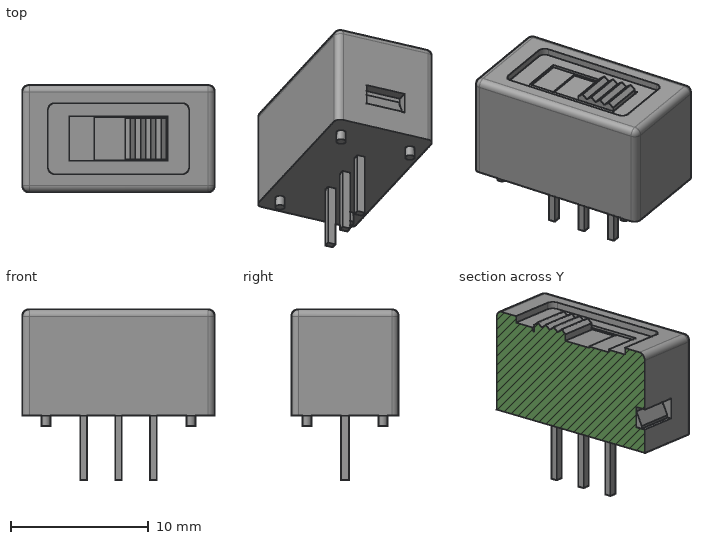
import cadquery as cq

length = 14.0
width = 7.8
total_height = 12.4
pin_length = 4.68
body_height = total_height - pin_length
edge_radius = 0.5

recess_length = 10.25
recess_width = 5.17
recess_radius = 0.5
recess_depth = 0.5
window_length = 7.17
window_width = 3.23
window_depth = 0.2
recess_floor = body_height - recess_depth
window_floor = recess_floor - window_depth

plate_start = -1.75
plate_ledge = 0.05
plate_depth = 0.1
plate_level = window_floor - plate_depth
plate_length = window_length / 2 - plate_ledge - plate_start
plate_width = window_width - 2 * plate_ledge

grip_size = 3.0
grip_end = 3.47
grip_start = grip_end - grip_size
ridge_count = 4
ridge_pitch = grip_size / ridge_count
ridge_height = 0.3
ridge_peak = body_height
ridge_root = ridge_peak - ridge_height

slot_width = 3.04
slot_bottom = 1.83
slot_top = 3.37
slot_depth = 0.8
stop_width = 2.91
stop_setback = 0.3
stop_lip = 0.2
stop_top = 3.05
slot_height = slot_top - slot_bottom
stop_height = stop_top - slot_bottom

pin_count = 3
pin_x = 0.5
pin_y = 0.6
pin_pitch = 2.53
peg_diameter = 0.69
peg_length = 0.75
peg_spacing_x = 10.53
peg_spacing_y = 5.52


def housing():
    """Block standing on Z = 0 with rounded upright and top edges."""
    block = cq.Workplane("XY").box(length, width, body_height, centered=(True, True, False))
    return block.edges("|Z or >Z").fillet(edge_radius)


def recess():
    """Shallow round-cornered pocket around the slider window."""
    pocket = cq.Workplane("XY", origin=(0, 0, recess_floor)).rect(recess_length, recess_width)
    return pocket.extrude(recess_depth).edges("|Z").fillet(recess_radius)


def window():
    """Slider window, stepped down further over the slider plate."""
    opening = cq.Workplane("XY", origin=(0, 0, window_floor))
    opening = opening.rect(window_length, window_width).extrude(window_depth)
    plate_centre = plate_start + plate_length / 2
    step = cq.Workplane("XY", origin=(plate_centre, 0, plate_level))
    return opening.union(step.rect(plate_length, plate_width).extrude(plate_depth))


def grip():
    """Ridged finger grip standing on the slider plate."""
    profile = cq.Workplane("XZ", origin=(0, grip_size / 2, 0))
    profile = profile.moveTo(grip_start, plate_level).lineTo(grip_start, ridge_root)
    for ridge in range(ridge_count):
        ridge_start = grip_start + ridge * ridge_pitch
        profile = profile.lineTo(ridge_start + ridge_pitch / 2, ridge_peak)
        profile = profile.lineTo(ridge_start + ridge_pitch, ridge_root)
    return profile.lineTo(grip_end, plate_level).close().extrude(grip_size)


def end_slot():
    """Slot volume in the -X end, less the sloped stop inside it."""
    slot = cq.Workplane("XY").box(slot_depth, slot_width, slot_height, centered=(False, True, False))
    stop = (
        cq.Workplane("XZ", origin=(0, stop_width / 2, 0))
        .moveTo(stop_setback, 0)
        .lineTo(stop_setback, stop_lip)
        .lineTo(slot_depth, stop_height)
        .lineTo(slot_depth, 0)
        .close()
        .extrude(stop_width)
    )
    return slot.cut(stop).translate((-length / 2, 0, slot_bottom))


def terminals():
    """Row of straight rectangular pins along the centre line."""
    pins = cq.Workplane("XY").rarray(pin_pitch, 0.14, pin_count, 1).rect(pin_x, pin_y)
    return pins.extrude(-pin_length)


def pegs():
    """Round standoff peg near each corner of the underside."""
    posts = cq.Workplane("XY").rarray(peg_spacing_x, peg_spacing_y, 2, 2).circle(peg_diameter / 2)
    return posts.extrude(-peg_length)


result = housing().cut(recess()).cut(window()).cut(end_slot())
result = result.union(grip()).union(terminals()).union(pegs())